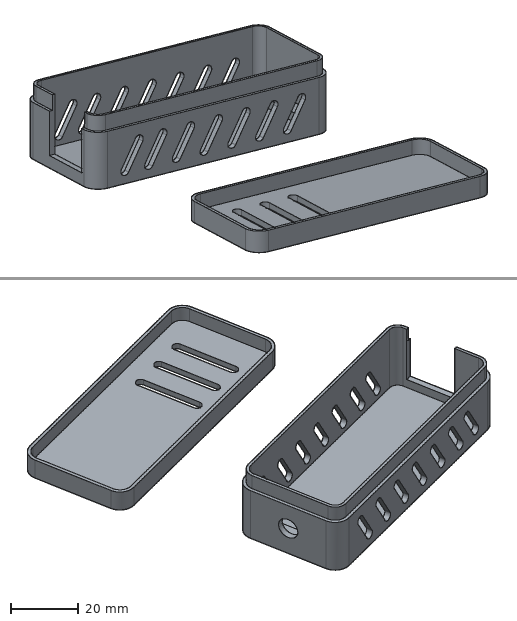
import cadquery as cq

OVERALL_WIDTH = 105.8
OVERALL_LENGTH = 96.6

WIDTH = 36.6
LENGTH = 86.3
CORNER_RADIUS = 5.0

CASE_HEIGHT = 23.2
LIP_HEIGHT = 5.0
LIP_INSET = 1.1
WALL = 2.0
CASE_FLOOR = 1.0
SHOULDER_HEIGHT = CASE_HEIGHT - LIP_HEIGHT

NOTCH_WIDTH = 16.9
NOTCH_CENTER_X = 3.6
NOTCH_SILL = 4.0

CABLE_HOLE_DIAMETER = 6.8
CABLE_HOLE_X = 0.0
CABLE_HOLE_Z = 9.5

BLOCK_WIDTH = 18.0
BLOCK_DEPTH = 4.9
BLOCK_CENTER_X = 0.7
BLOCK_TOP = NOTCH_SILL

VENT_WIDTH = 3.0
VENT_TRAVEL = 10.2
VENT_TILT = 30.0
VENT_CENTER_Z = 8.6
REGULAR_VENTS = 6
REGULAR_VENT_SPAN = 50.1
VENT_PITCH = REGULAR_VENT_SPAN / (REGULAR_VENTS - 1)
LAST_VENT_PITCH = 8.6
BACK_VENT_FROM_BACK = 13.8

LID_OFFSET_X = OVERALL_WIDTH - WIDTH
LID_OFFSET_Y = OVERALL_LENGTH - LENGTH
LID_HEIGHT = 6.9
LID_WALL = 1.1
LID_FLOOR = 2.0
LID_SLOT_LENGTH = 22.9
LID_SLOT_WIDTH = 3.1
LID_SLOT_PITCH = 10.1
LID_SLOT_COUNT = 3
LID_SLOT_CENTER_X = 0.1
FIRST_LID_SLOT_FROM_FRONT = 13.1


def rounded_block(inset, bottom, top):
    """Block with the common plan outline moved inward by inset."""
    return (
        cq.Workplane("XY", origin=(0, 0, bottom))
        .rect(WIDTH - 2 * inset, LENGTH - 2 * inset)
        .extrude(top - bottom)
        .edges("|Z")
        .fillet(CORNER_RADIUS - inset)
    )


def side_vents():
    """Slanted slot cutters that cross the full width of the case."""
    back_y = LENGTH / 2 - BACK_VENT_FROM_BACK
    centers = [back_y - i * VENT_PITCH for i in range(REGULAR_VENTS)]
    centers.append(centers[-1] - LAST_VENT_PITCH)
    return (
        cq.Workplane("YZ", origin=(-WIDTH / 2, 0, 0))
        .pushPoints([(y, VENT_CENTER_Z) for y in centers])
        .slot2D(VENT_TRAVEL + VENT_WIDTH, VENT_WIDTH, 90 - VENT_TILT)
        .extrude(WIDTH)
    )


def make_case():
    """Open box with a stepped lip, a front opening, a cable hole and side vents."""
    shell = rounded_block(0, 0, SHOULDER_HEIGHT)
    shell = shell.union(rounded_block(LIP_INSET, 0, CASE_HEIGHT))
    shell = shell.cut(rounded_block(WALL, CASE_FLOOR, CASE_HEIGHT))

    inner_back_y = LENGTH / 2 - WALL
    block = cq.Workplane("XY").box(
        BLOCK_WIDTH, BLOCK_DEPTH, BLOCK_TOP, centered=(True, False, False)
    ).translate((BLOCK_CENTER_X, inner_back_y - BLOCK_DEPTH, 0))

    notch = cq.Workplane("XY").box(
        NOTCH_WIDTH, WALL, CASE_HEIGHT - NOTCH_SILL, centered=(True, False, False)
    ).translate((NOTCH_CENTER_X, -LENGTH / 2, NOTCH_SILL))

    cable_hole = (
        cq.Workplane("XZ", origin=(CABLE_HOLE_X, LENGTH / 2, CABLE_HOLE_Z))
        .circle(CABLE_HOLE_DIAMETER / 2)
        .extrude(WALL)
    )
    return shell.union(block).cut(notch).cut(cable_hole).cut(side_vents())


def make_lid():
    """Shallow tray with straight slots, set beside the case."""
    tray = rounded_block(0, 0, LID_HEIGHT).cut(rounded_block(LID_WALL, LID_FLOOR, LID_HEIGHT))

    first_y = -LENGTH / 2 + FIRST_LID_SLOT_FROM_FRONT
    centers = [(LID_SLOT_CENTER_X, first_y + i * LID_SLOT_PITCH) for i in range(LID_SLOT_COUNT)]
    slots = (
        cq.Workplane("XY")
        .pushPoints(centers)
        .slot2D(LID_SLOT_LENGTH, LID_SLOT_WIDTH)
        .extrude(LID_FLOOR)
    )
    return tray.cut(slots).translate((LID_OFFSET_X, LID_OFFSET_Y, 0))


case = make_case()
lid = make_lid()
result = cq.Compound.makeCompound([case.val(), lid.val()])